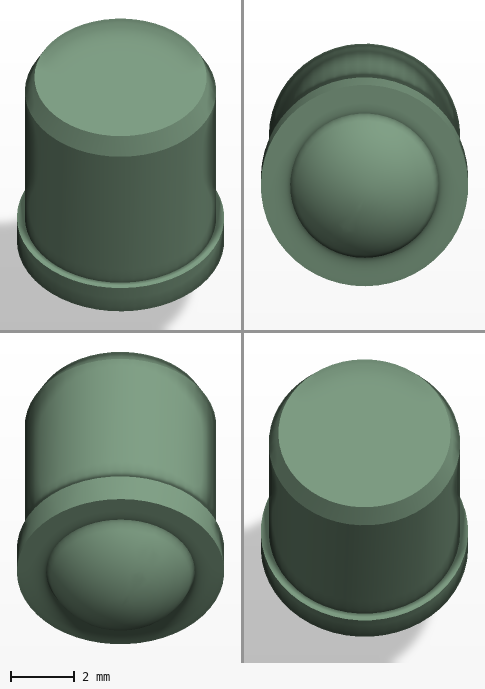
import cadquery as cq

total_height = 8.6
flange_diameter = 6.5
flange_height = 1.0
body_diameter = 6.0
top_diameter = 5.4
taper_height = 0.6
ball_diameter = 5.0
ball_protrusion = 1.6

body_top = total_height - ball_protrusion
taper_start = body_top - taper_height
ball_center = ball_diameter / 2 - ball_protrusion


def make_housing():
    """Flanged cylinder with a tapered lead-in at its top, revolved about Z."""
    profile = (
        cq.Workplane("XZ")
        .moveTo(0, 0)
        .lineTo(flange_diameter / 2, 0)
        .lineTo(flange_diameter / 2, flange_height)
        .lineTo(body_diameter / 2, flange_height)
        .lineTo(body_diameter / 2, taper_start)
        .lineTo(top_diameter / 2, body_top)
        .lineTo(0, body_top)
        .close()
    )
    return profile.revolve(360, (0, 0, 0), (0, 1, 0))


def make_ball():
    """Ball seated in the housing, with its lower cap below the flange."""
    return cq.Workplane("XY").sphere(ball_diameter / 2).translate((0, 0, ball_center))


result = make_housing().union(make_ball())